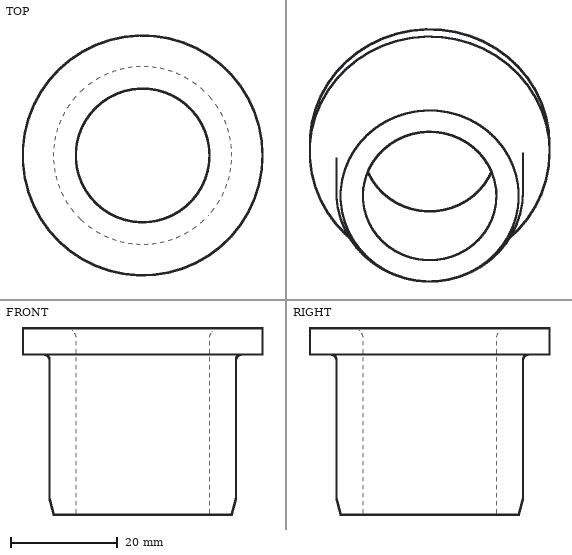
import cadquery as cq
import math

flange_diameter = 45.0
flange_thickness = 5.0
total_height = 35.0
body_diameter = 35.0
bore_diameter = 25.0
bore_rounding = 2.0
neck_fillet = 1.0
lead_in_height = 3.0
lead_in_angle = 15.0

flange_radius = flange_diameter / 2
body_radius = body_diameter / 2
bore_radius = bore_diameter / 2
flange_bottom = total_height - flange_thickness
lead_in_radius = body_radius - lead_in_height * math.tan(math.radians(lead_in_angle))
diagonal = math.sqrt(0.5)

neck_mid = (
    body_radius + neck_fillet * (1 - diagonal),
    flange_bottom - neck_fillet * (1 - diagonal),
)
rounding_mid = (
    bore_radius + bore_rounding * (1 - diagonal),
    total_height - bore_rounding * (1 - diagonal),
)

half_section = (
    cq.Workplane("XZ")
    .moveTo(bore_radius, 0)
    .lineTo(lead_in_radius, 0)
    .lineTo(body_radius, lead_in_height)
    .lineTo(body_radius, flange_bottom - neck_fillet)
    .threePointArc(neck_mid, (body_radius + neck_fillet, flange_bottom))
    .lineTo(flange_radius, flange_bottom)
    .lineTo(flange_radius, total_height)
    .lineTo(bore_radius + bore_rounding, total_height)
    .threePointArc(rounding_mid, (bore_radius, total_height - bore_rounding))
    .close()
)

result = half_section.revolve(360, (0, 0, 0), (0, 1, 0))